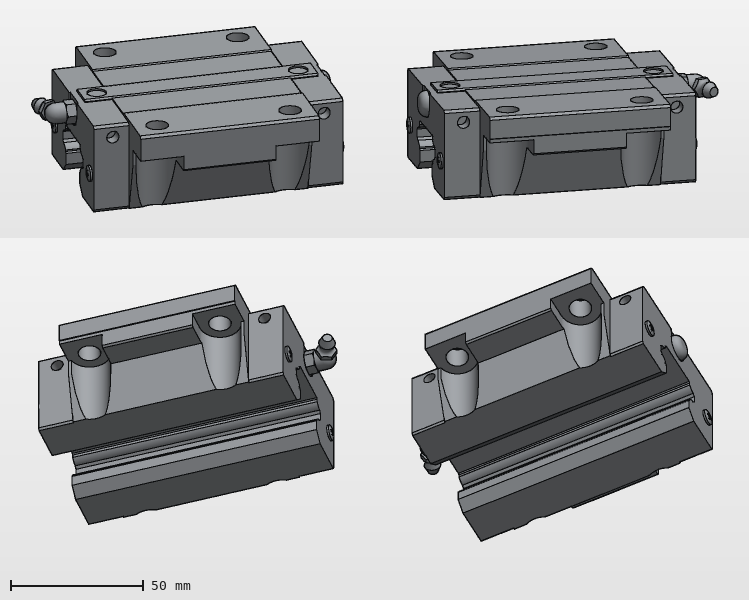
import cadquery as cq
import math


HEIGHT = 36.0
FLANGE_HALF_WIDTH = 45.0
BLOCK_LENGTH = 70.0
FLANGE_BOTTOM_Z = 19.85
FLANGE_TOP_CHAMFER = 1.0
FLANGE_BOTTOM_CHAMFER = 0.7
FLANK_TOP_HALF_WIDTH = 34.3
FLANK_BOTTOM_HALF_WIDTH = 29.0
EDGE_STEP_Z = 27.5
EDGE_STEP_DEPTH = 0.4

CHANNEL_DEPTH = 0.5
RIDGE_HALF_WIDTH = 5.0
CHANNEL_OUTER_HALF_WIDTH = 21.4

HOLE_X = 36.0
HOLE_Y = 26.0
HOLE_DIAMETER = 8.5
POCKET_RADIUS = 8.0
POCKET_TOP_Z = 26.0

CAP_HALF_WIDTH = 29.0
CAP_TOP_Z = 35.0
CAP_END_Y = 45.65
PLATE_END_Y = 48.75
CAP_CHAMFER = 1.0
CAP_BOTTOM_CHAMFER_WIDTH = 0.5
CAP_RIDGE_CHAMFER = 0.7
SLOT_RADIUS = 5.3
PORT_Z = 29.4
RECESS_DEPTH = 0.5
TOP_PORT_DIAMETER = 7.4
TOP_PORT_DEPTH = 0.7
TOP_PORT_Y = 39.45
SIDE_PORT_DIAMETER = 4.7
SIDE_PORT_Y = 41.35
SIDE_PORT_Z = 30.0
SIDE_PORT_DEPTH = 5.0

RAIL_TOP_Z = 19.85
RAIL_HALF_WIDTH = 10.0
RAIL_TOP_CHAMFER = 0.45
RACE_Z = 13.8
RACE_HALF_WIDTH = 13.8
RACE_HALF_HEIGHT = 1.6
RACE_CORNER = 0.95
LOBE_MIDDLE_X = 11.35
LOBE_MIDDLE_RISE = 3.15
LOBE_RISE = 4.4
LIP_HALF_WIDTH = 9.3
LIP_TOP_Z = 8.3
LIP_STEP_Z = 8.8
LIP_BOTTOM_Z = 3.75
MOUTH_HALF_WIDTH = 13.35

SCREW_X = 23.95
SCREW_Z = 14.0
SCREW_RADIUS = 3.05
SCREW_RIM_HEIGHT = 0.75
SCREW_HEIGHT = 1.45
CROSS_LENGTH = 2.7
CROSS_WIDTH = 0.6
CROSS_DEPTH = 0.8

PLUG_RADIUS = 5.05
PLUG_END_Y = 51.55
PLUG_FILLET = 2.95

ELBOW_HEX_FLATS = 8.0
ELBOW_HEX_END_Y = 52.15
ELBOW_RADIUS = 4.0
ELBOW_CENTER_Y = 55.67
ARM_ANGLE = 22.0
ARM_NECK_RADIUS = 2.5
ARM_HEX_FLATS = 7.0
ARM_HEX_START = 3.4
ARM_HEX_END = 5.3
ARM_THROAT_RADIUS = 2.75
ARM_THROAT = 5.9
ARM_FLARE_START = 7.0
ARM_FLARE_END = 9.0
ARM_FLARE_RADIUS = 3.15
ARM_TIP = 12.05
ARM_TIP_RADIUS = 1.85

SIDES = (-1, 1)


def extrude_along_y(sketch, length):
    """Extrude a closed XZ outline equally to both sides of Y = 0."""
    return sketch.extrude(length / 2, both=True)


def box(x_range, y_range, z_range):
    """Axis-aligned box between the given limits."""
    spans = (x_range, y_range, z_range)
    sizes = [abs(high - low) for low, high in spans]
    centers = [(low + high) / 2 for low, high in spans]
    return cq.Workplane("XY").box(*sizes).translate(tuple(centers))


def plane_facing(end, y):
    """XZ plane centred on the carriage, with its normal pointing out of the given end."""
    return cq.Plane(origin=(0, end * y, 0), xDir=(-end, 0, 0), normal=(0, end, 0))


def make_block():
    """Flanged block with tapered flanks and a top face stepped around its ridge."""
    floor_z = HEIGHT - CHANNEL_DEPTH
    right_half = [
        (RIDGE_HALF_WIDTH, HEIGHT),
        (RIDGE_HALF_WIDTH + CHANNEL_DEPTH, floor_z),
        (CHANNEL_OUTER_HALF_WIDTH - CHANNEL_DEPTH, floor_z),
        (CHANNEL_OUTER_HALF_WIDTH, HEIGHT),
        (FLANGE_HALF_WIDTH - FLANGE_TOP_CHAMFER, HEIGHT),
        (FLANGE_HALF_WIDTH, HEIGHT - FLANGE_TOP_CHAMFER),
        (FLANGE_HALF_WIDTH, FLANGE_BOTTOM_Z + FLANGE_BOTTOM_CHAMFER),
        (FLANGE_HALF_WIDTH - FLANGE_BOTTOM_CHAMFER, FLANGE_BOTTOM_Z),
        (FLANK_TOP_HALF_WIDTH, FLANGE_BOTTOM_Z),
        (FLANK_BOTTOM_HALF_WIDTH, 0),
    ]
    stepped_x = FLANGE_HALF_WIDTH - EDGE_STEP_DEPTH
    top_edge = right_half[:6]
    flank = right_half[-2:]
    left_half = [(-x, z) for x, z in top_edge]
    left_half += [
        (-FLANGE_HALF_WIDTH, EDGE_STEP_Z),
        (-stepped_x, EDGE_STEP_Z),
        (-stepped_x, FLANGE_BOTTOM_Z + FLANGE_BOTTOM_CHAMFER),
        (FLANGE_BOTTOM_CHAMFER - stepped_x, FLANGE_BOTTOM_Z),
    ]
    left_half += [(-x, z) for x, z in flank]
    outline = cq.Workplane("XZ").polyline(right_half + left_half[::-1]).close()
    return extrude_along_y(outline, BLOCK_LENGTH)


def make_mounting_cutter(side, end):
    """Mounting hole and the pocket under it, open to the flange's edge and end."""
    x = side * HOLE_X
    y = end * HOLE_Y
    outside_x = side * FLANGE_HALF_WIDTH
    end_y = end * BLOCK_LENGTH / 2
    pocket_z = (0, POCKET_TOP_Z)
    inner_y = end * (HOLE_Y - POCKET_RADIUS)
    hole = cq.Workplane("XY").center(x, y).circle(HOLE_DIAMETER / 2).extrude(HEIGHT)
    scallop = cq.Workplane("XY").center(x, y).circle(POCKET_RADIUS).extrude(POCKET_TOP_Z)
    edge_opening = box((x, outside_x), (inner_y, end_y), pocket_z)
    end_opening = box((side * FLANK_TOP_HALF_WIDTH, outside_x), (y, end_y), pocket_z)
    return hole.union(scallop).union(edge_opening).union(end_opening)


def make_caps():
    """Both end caps and seal plates as one bar, with the ridge carried over the caps."""
    half = [
        (CAP_HALF_WIDTH - CAP_CHAMFER, CAP_TOP_Z),
        (CAP_HALF_WIDTH, CAP_TOP_Z - CAP_CHAMFER),
        (CAP_HALF_WIDTH, CAP_CHAMFER),
        (CAP_HALF_WIDTH - CAP_BOTTOM_CHAMFER_WIDTH, 0),
    ]
    mirrored = [(-x, z) for x, z in half[::-1]]
    bar = extrude_along_y(cq.Workplane("XZ").polyline(half + mirrored).close(), 2 * PLATE_END_Y)
    ridge_base = RIDGE_HALF_WIDTH + CAP_RIDGE_CHAMFER
    shoulder_z = HEIGHT - CAP_RIDGE_CHAMFER
    ridge_outline = [
        (-ridge_base, CAP_TOP_Z),
        (-ridge_base, shoulder_z),
        (-RIDGE_HALF_WIDTH, HEIGHT),
        (RIDGE_HALF_WIDTH, HEIGHT),
        (ridge_base, shoulder_z),
        (ridge_base, CAP_TOP_Z),
    ]
    ridge = extrude_along_y(cq.Workplane("XZ").polyline(ridge_outline).close(), 2 * CAP_END_Y)
    return bar.union(ridge)


def make_rail_opening():
    """Full-length cutter for the rail, with a ball race on each side."""
    lobe_end_x = RACE_HALF_WIDTH - RACE_CORNER
    lobe_end_rise = RACE_HALF_HEIGHT + RACE_CORNER
    half_outline = (
        cq.Workplane("XZ")
        .moveTo(0, RAIL_TOP_Z)
        .lineTo(RAIL_HALF_WIDTH - RAIL_TOP_CHAMFER, RAIL_TOP_Z)
        .lineTo(RAIL_HALF_WIDTH, RAIL_TOP_Z - RAIL_TOP_CHAMFER)
        .lineTo(RAIL_HALF_WIDTH, RACE_Z + LOBE_RISE)
        .threePointArc((LOBE_MIDDLE_X, RACE_Z + LOBE_MIDDLE_RISE), (lobe_end_x, RACE_Z + lobe_end_rise))
        .lineTo(RACE_HALF_WIDTH, RACE_Z + RACE_HALF_HEIGHT)
        .lineTo(RACE_HALF_WIDTH, RACE_Z - RACE_HALF_HEIGHT)
        .lineTo(lobe_end_x, RACE_Z - lobe_end_rise)
        .threePointArc((LOBE_MIDDLE_X, RACE_Z - LOBE_MIDDLE_RISE), (RAIL_HALF_WIDTH, RACE_Z - LOBE_RISE))
        .lineTo(RAIL_HALF_WIDTH, LIP_STEP_Z)
        .lineTo(LIP_HALF_WIDTH, LIP_TOP_Z)
        .lineTo(LIP_HALF_WIDTH, LIP_BOTTOM_Z)
        .lineTo(MOUTH_HALF_WIDTH, 0)
        .lineTo(0, 0)
        .close()
    )
    half = extrude_along_y(half_outline, 2 * PLATE_END_Y)
    return half.union(half.mirror("YZ"))


def make_cap_cutter(end):
    """Slot in the seal plate and the lubrication ports of one cap."""
    recess_y = PLATE_END_Y - RECESS_DEPTH
    plane = plane_facing(end, recess_y)
    cutter = cq.Workplane(plane).center(0, PORT_Z).circle(SLOT_RADIUS).extrude(RECESS_DEPTH)
    slot_y = (end * recess_y, end * PLATE_END_Y)
    cutter = cutter.union(box((-SLOT_RADIUS, SLOT_RADIUS), slot_y, (PORT_Z, HEIGHT)))
    top_port = (
        cq.Workplane("XY", origin=(0, end * TOP_PORT_Y, HEIGHT))
        .circle(TOP_PORT_DIAMETER / 2)
        .extrude(-TOP_PORT_DEPTH)
    )
    cutter = cutter.union(top_port)
    for side in SIDES:
        side_port = (
            cq.Workplane("YZ", origin=(side * CAP_HALF_WIDTH, end * SIDE_PORT_Y, SIDE_PORT_Z))
            .circle(SIDE_PORT_DIAMETER / 2)
            .extrude(-side * SIDE_PORT_DEPTH)
        )
        cutter = cutter.union(side_port)
    return cutter


def make_screw(side, end):
    """Domed screw head with a cross recess, standing on the seal plate."""
    dome_rise = SCREW_HEIGHT - SCREW_RIM_HEIGHT
    dome_radius = (SCREW_RADIUS**2 + dome_rise**2) / (2 * dome_rise)
    middle_x = SCREW_RADIUS / 2
    middle_y = SCREW_HEIGHT - dome_radius + math.sqrt(dome_radius**2 - middle_x**2)
    head = (
        cq.Workplane("XY")
        .moveTo(0, 0)
        .lineTo(SCREW_RADIUS, 0)
        .lineTo(SCREW_RADIUS, SCREW_RIM_HEIGHT)
        .threePointArc((middle_x, middle_y), (0, SCREW_HEIGHT))
        .close()
        .revolve(360, (0, 0, 0), (0, 1, 0))
    )
    cross_y = (SCREW_HEIGHT - CROSS_DEPTH, SCREW_HEIGHT)
    long_span = (-CROSS_LENGTH / 2, CROSS_LENGTH / 2)
    short_span = (-CROSS_WIDTH / 2, CROSS_WIDTH / 2)
    head = head.cut(box(long_span, cross_y, short_span))
    head = head.cut(box(short_span, cross_y, long_span))
    if end < 0:
        head = head.mirror("XZ")
    return head.translate((side * SCREW_X, end * PLATE_END_Y, SCREW_Z))


def make_plug():
    """Rounded plug standing in the slot of the +Y cap."""
    base_y = PLATE_END_Y - RECESS_DEPTH
    plug = cq.Workplane(plane_facing(1, base_y)).center(0, PORT_Z).circle(PLUG_RADIUS)
    return plug.extrude(PLUG_END_Y - base_y).faces(">Y").edges().fillet(PLUG_FILLET)


def make_hexagon(flats, length):
    """Hexagon standing on the XY plane, two corners on X, its top corners chamfered at 30 degrees."""
    flat_radius = flats / 2
    corner_radius = flat_radius / math.cos(math.pi / 6)
    chamfer_height = (corner_radius - flat_radius) * math.tan(math.pi / 6)
    envelope_outline = [
        (0, 0),
        (corner_radius, 0),
        (corner_radius, length - chamfer_height),
        (flat_radius, length),
        (0, length),
    ]
    envelope = cq.Workplane("XZ").polyline(envelope_outline).close().revolve(360, (0, 0, 0), (0, 1, 0))
    return cq.Workplane("XY").polygon(6, 2 * corner_radius).extrude(length).intersect(envelope)


def make_elbow():
    """Hexagon and round-ended stem of the grease nipple."""
    base_y = PLATE_END_Y - RECESS_DEPTH
    hexagon = make_hexagon(ELBOW_HEX_FLATS, ELBOW_HEX_END_Y - base_y)
    stem = cq.Workplane("XY").circle(ELBOW_RADIUS).extrude(ELBOW_CENTER_Y - base_y)
    ball = cq.Workplane("XY").sphere(ELBOW_RADIUS).translate((0, 0, ELBOW_CENTER_Y - base_y))
    elbow = hexagon.union(stem).union(ball)
    return elbow.rotate((0, 0, 0), (1, 0, 0), 90).translate((0, -base_y, PORT_Z))


def make_arm():
    """Nipple arm pointing to -X from the elbow's ball, turned outward by ARM_ANGLE."""
    shaft = (
        cq.Workplane("XZ")
        .moveTo(0, 0)
        .lineTo(ARM_NECK_RADIUS, 0)
        .lineTo(ARM_NECK_RADIUS, ARM_HEX_END)
        .lineTo(ARM_HEX_FLATS / 2, ARM_HEX_END)
        .threePointArc((ARM_THROAT_RADIUS, ARM_THROAT), (ARM_NECK_RADIUS, ARM_FLARE_START))
        .lineTo(ARM_FLARE_RADIUS, ARM_FLARE_END)
        .lineTo(ARM_TIP_RADIUS, ARM_TIP)
        .lineTo(0, ARM_TIP)
        .close()
        .revolve(360, (0, 0, 0), (0, 1, 0))
    )
    collar = make_hexagon(ARM_HEX_FLATS, ARM_HEX_END - ARM_HEX_START).translate((0, 0, ARM_HEX_START))
    arm = shaft.union(collar).rotate((0, 0, 0), (1, 0, 0), 90)
    arm = arm.rotate((0, 0, 0), (0, 0, 1), ARM_ANGLE - 90)
    return arm.translate((0, -ELBOW_CENTER_Y, PORT_Z))


def make_carriage():
    """Assemble the block, caps and fittings into one solid."""
    block = make_block()
    for side in SIDES:
        for end in SIDES:
            block = block.cut(make_mounting_cutter(side, end))

    half_length = BLOCK_LENGTH / 2
    across = (-FLANGE_HALF_WIDTH, FLANGE_HALF_WIDTH)
    block_space = box(across, (-half_length, half_length), (0, HEIGHT))
    carriage = block.union(make_caps().cut(block_space)).cut(make_rail_opening())

    for end in SIDES:
        carriage = carriage.cut(make_cap_cutter(end))
        for side in SIDES:
            carriage = carriage.union(make_screw(side, end))
    return carriage.union(make_plug()).union(make_elbow()).union(make_arm())


result = make_carriage()